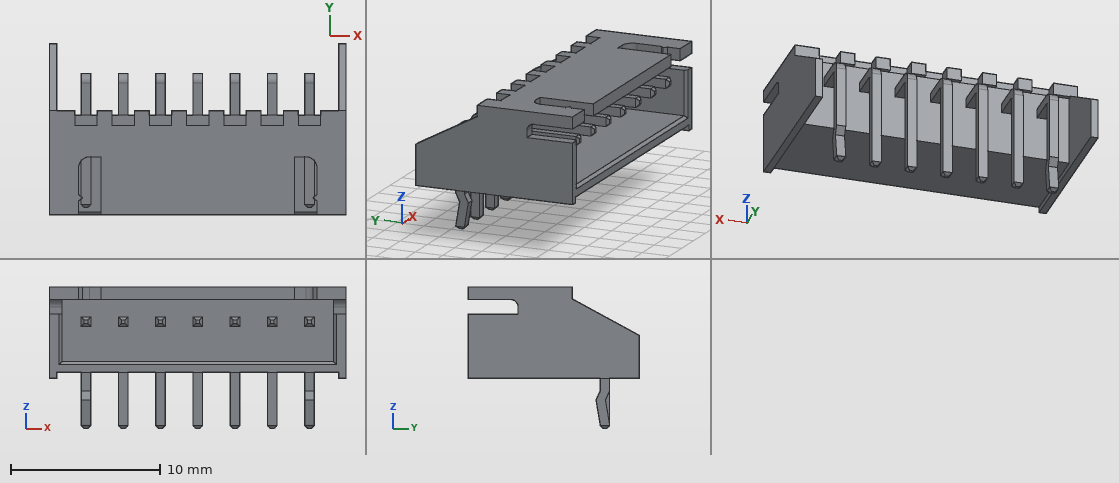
import cadquery as cq


WIDTH = 19.9
DEPTH = 11.5
HEIGHT = 6.13
BLOCK_DEPTH = 6.7
ROOF_DEPTH = 7.0
ROOF_BOTTOM = 5.28
WING_THICKNESS = 0.5
WING_SLOPE_TOP = 5.33
WING_BACK_HEIGHT = 2.88
BLOCK_BOTTOM = 0.4

WALL = 0.85
FLOOR_TOP = 1.13
CAVITY_DEPTH = 5.25
MOUTH_CHAMFER = 0.2
CHAMFER_ANGLE = 45

SIDE_SLOT_DEPTH = 3.35
SIDE_SLOT_BOTTOM = 4.3
SIDE_SLOT_RADIUS = 0.5
KEY_SLOT_WIDTH = 1.5
KEY_SLOT_DEPTH = 3.9
KEY_SLOT_RADIUS = KEY_SLOT_WIDTH / 2
KEY_SLOT_OUTER_X = WIDTH / 2 - 1.95
KEY_BUMP_HEIGHT = 0.27
KEY_BUMP_HALF_LENGTH = 0.22
KEY_BUMP_Y = 1.15

OVERALL_HEIGHT = 9.5
PIN_COUNT = 7
PITCH = 2.5
PIN_SIZE = 0.64
PIN_TIP_Y = 0.5
PIN_Z = 3.8
PIN_BACK_Y = 9.5
PIN_BOTTOM_Z = HEIGHT - OVERALL_HEIGHT
TIP_CHAMFER = 0.2
STRAIGHT_TIP_LENGTH = 0.25
BEND_RADIUS = PIN_SIZE
KINK_OFFSET = 0.28
KINK_TOP_Z = -0.85
KINK_PEAK_Z = -1.45

NOTCH_WIDTH = 1.5
NOTCH_FRONT_Y = 6.0


def box(x_range, y_range, z_range):
    """Box between pairs of X, Y and Z limits."""
    size = [high - low for low, high in (x_range, y_range, z_range)]
    corner = (x_range[0], y_range[0], z_range[0])
    return cq.Workplane("XY").box(*size, centered=False).translate(corner)


def side_profile(points, x_center, thickness):
    """Plate across X whose outline is a list of (Y, Z) points."""
    return (
        cq.Workplane("YZ", origin=(x_center, 0, 0))
        .polyline(points)
        .close()
        .extrude(thickness / 2, both=True)
    )


def make_body():
    """Solid housing: main block, overhanging roof and the two side walls."""
    half = WIDTH / 2
    body = box((-half, half), (0, BLOCK_DEPTH), (BLOCK_BOTTOM, HEIGHT))
    body = body.union(box((-half, half), (0, ROOF_DEPTH), (ROOF_BOTTOM, HEIGHT)))
    wing_outline = [
        (0, 0),
        (DEPTH, 0),
        (DEPTH, WING_BACK_HEIGHT),
        (ROOF_DEPTH, WING_SLOPE_TOP),
        (ROOF_DEPTH, HEIGHT),
        (0, HEIGHT),
    ]
    for side in (-1, 1):
        wing_center = side * (half - WING_THICKNESS / 2)
        body = body.union(side_profile(wing_outline, wing_center, WING_THICKNESS))
    return body


def make_cavity():
    """Rectangular cavity, flared at the mouth along the floor and both sides."""
    half = WIDTH / 2 - WALL
    cavity = box((-half, half), (0, CAVITY_DEPTH), (FLOOR_TOP, ROOF_BOTTOM))
    flare_width = 2 * (half + MOUTH_CHAMFER)
    flare_bottom = FLOOR_TOP - MOUTH_CHAMFER
    flare = (
        cq.Workplane("XZ", origin=(0, 0, (flare_bottom + ROOF_BOTTOM) / 2))
        .rect(flare_width, ROOF_BOTTOM - flare_bottom)
        .extrude(-MOUTH_CHAMFER, taper=CHAMFER_ANGLE)
    )
    return cavity.union(flare)


def make_side_slots():
    """Slots through both side walls just below the roof, rounded at the upper inner corner."""
    half = WIDTH / 2
    slots = box((-half, half), (0, SIDE_SLOT_DEPTH), (SIDE_SLOT_BOTTOM, ROOF_BOTTOM))
    return slots.edges(">Y and >Z").fillet(SIDE_SLOT_RADIUS)


def make_key_slot():
    """Right-hand roof slot: its outer inner-end corner is rounded, its outer edge has a small bump."""
    inner_x = KEY_SLOT_OUTER_X - KEY_SLOT_WIDTH
    slot = box((inner_x, KEY_SLOT_OUTER_X), (0, KEY_SLOT_DEPTH), (ROOF_BOTTOM, HEIGHT))
    slot = slot.edges(">X and >Y").fillet(KEY_SLOT_RADIUS)
    bump = (
        cq.Workplane("XY", origin=(0, 0, ROOF_BOTTOM))
        .moveTo(KEY_SLOT_OUTER_X, KEY_BUMP_Y - KEY_BUMP_HALF_LENGTH)
        .lineTo(KEY_SLOT_OUTER_X - KEY_BUMP_HEIGHT, KEY_BUMP_Y)
        .lineTo(KEY_SLOT_OUTER_X, KEY_BUMP_Y + KEY_BUMP_HALF_LENGTH)
        .close()
        .extrude(HEIGHT - ROOF_BOTTOM)
    )
    return slot.cut(bump)


def make_notch(x):
    """Notch through the roof above the pin at x."""
    x_range = (x - NOTCH_WIDTH / 2, x + NOTCH_WIDTH / 2)
    return box(x_range, (NOTCH_FRONT_Y, ROOF_DEPTH), (ROOF_BOTTOM, HEIGHT))


def make_pin(x, kinked):
    """Square pin bent down behind the block; a kinked pin bows forward below the housing."""
    half = PIN_SIZE / 2
    top_z = PIN_Z + half
    front_y = PIN_BACK_Y - PIN_SIZE
    mating = box((x - half, x + half), (PIN_TIP_Y, PIN_BACK_Y), (PIN_Z - half, top_z))
    mating = mating.faces("<Y").chamfer(TIP_CHAMFER)
    if kinked:
        straight_end_z = PIN_BOTTOM_Z + STRAIGHT_TIP_LENGTH
        leg_outline = [
            (front_y, top_z),
            (front_y, KINK_TOP_Z),
            (front_y - KINK_OFFSET, KINK_PEAK_Z),
            (front_y, straight_end_z),
            (front_y, PIN_BOTTOM_Z),
            (PIN_BACK_Y, PIN_BOTTOM_Z),
            (PIN_BACK_Y, straight_end_z),
            (PIN_BACK_Y - KINK_OFFSET, KINK_PEAK_Z),
            (PIN_BACK_Y, KINK_TOP_Z),
            (PIN_BACK_Y, top_z),
        ]
        leg = side_profile(leg_outline, x, PIN_SIZE)
    else:
        leg = box((x - half, x + half), (front_y, PIN_BACK_Y), (PIN_BOTTOM_Z, top_z))
    leg = leg.faces("<Z").chamfer(TIP_CHAMFER)
    pin = mating.union(leg).clean()
    return pin.edges("|X and >Z and >Y").fillet(BEND_RADIUS)


side_key_slot = make_key_slot()
result = make_body().cut(make_cavity()).cut(make_side_slots())
result = result.cut(side_key_slot).cut(side_key_slot.mirror("YZ"))
for index in range(PIN_COUNT):
    pin_x = (index - (PIN_COUNT - 1) / 2) * PITCH
    is_end_pin = index in (0, PIN_COUNT - 1)
    result = result.cut(make_notch(pin_x)).union(make_pin(pin_x, is_end_pin))